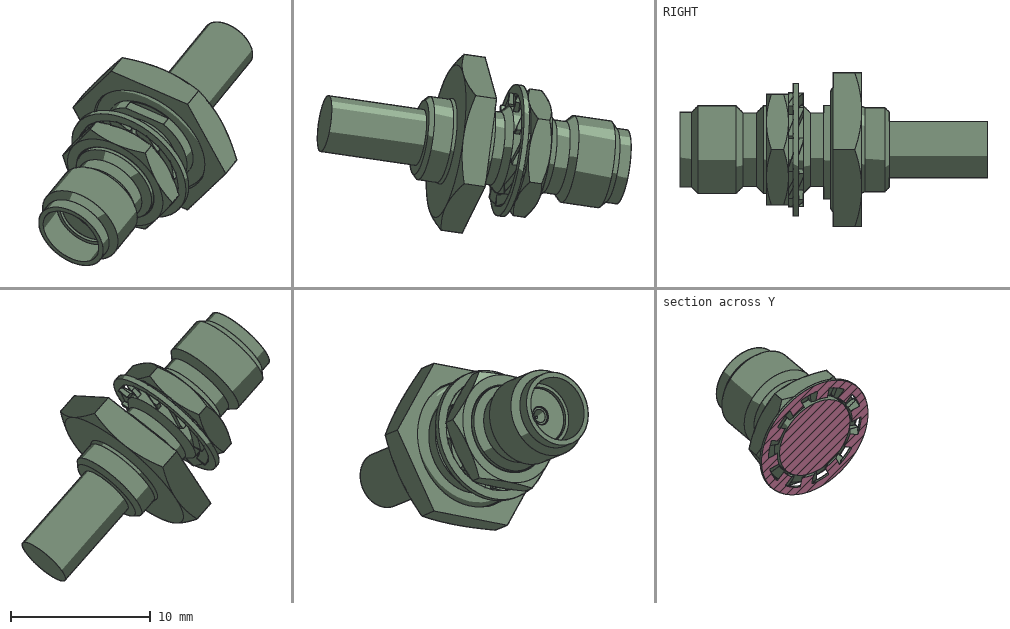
import cadquery as cq
import math

TOTAL_LENGTH = 22.0

SLEEVE_RADIUS = 2.68
SLEEVE_LENGTH = 0.84
THREAD_RADIUS = 3.15
RELIEF_RADIUS = 2.65
FRONT_THREAD_END = 4.0
REAR_THREAD_START = 5.98
REAR_THREAD_END = 8.82
THREAD_BEVEL = THREAD_RADIUS - RELIEF_RADIUS
SLEEVE_BEVEL = THREAD_RADIUS - SLEEVE_RADIUS

HUB_RADIUS = 3.55
HUB_FLAT_HEIGHT = 3.17
HUB_START = 10.27

FLANGE_WIDTH = 11.02
FLANGE_FRONT = 10.95
FLANGE_BACK = 13.0
HEX_BEVEL_ANGLE = 30.0

COLLAR_RADIUS = 3.01
COLLAR_FOOT_RADIUS = 3.1
COLLAR_FOOT_LENGTH = 0.25
COLLAR_END = 14.98
COLLAR_CHAMFER = 0.33
CABLE_RADIUS = 2.02

SEAL_TUBE_RADIUS = 0.5
SEAL_PROTRUSION = 0.2
SEAL_RING_RADIUS = HUB_RADIUS + SEAL_TUBE_RADIUS
GROOVE_RADIUS = 4.62
GROOVE_DEPTH = 2 * SEAL_TUBE_RADIUS - SEAL_PROTRUSION

SOCKET_RADIUS = 2.3
SOCKET_DEPTH = 1.94
INSULATOR_RADIUS = 2.05
INSULATOR_DEPTH = 2.13
INSULATOR_CHAMFER = 0.05
CONTACT_RADIUS = 0.64
CONTACT_RECESS = 0.1
CONTACT_MOUTH_RADIUS = 0.48
CONTACT_TIP_RADIUS = 0.09

NUT_WIDTH = 7.95
NUT_FRONT = 6.18
NUT_BACK = 7.77
NUT_BORE_CHAMFER = 0.09

WASHER_RADIUS = 4.75
WASHER_THICKNESS = 0.4
TOOTH_HEIGHT = 1.05
TOOTH_COUNT = 10
TOOTH_OUTER_RADIUS = 4.1
TOOTH_INNER_RADIUS = 3.3
TOOTH_TWIST = 20.0
TOOTH_GAP_ANGLE = 2.3
FIRST_TOOTH_ANGLE = 23.3
WASHER_MIDDLE = NUT_BACK + TOOTH_HEIGHT / 2


def revolved(profile):
    """Solid of revolution about Y from (radius, y) points."""
    return cq.Workplane("XY").polyline(profile).close().revolve(360, (0, 0, 0), (0, 1, 0))


def cylinder(radius, start, end):
    return revolved([(0, start), (radius, start), (radius, end), (0, end)])


def tube(outer_radius, inner_radius, start, end):
    return revolved([(inner_radius, start), (outer_radius, start), (outer_radius, end), (inner_radius, end)])


def hexagon(width, start, end, bevel_front):
    """Hexagonal prism, flats facing +Z and -Z, corners bevelled at the back and optionally the front."""
    corner_radius = width / math.sqrt(3)
    bevel_drop = (corner_radius - width / 2) * math.tan(math.radians(HEX_BEVEL_ANGLE))
    prism = cq.Workplane("XZ", origin=(0, start, 0)).polygon(6, 2 * corner_radius).extrude(start - end)
    envelope = [(0, start)]
    if bevel_front:
        envelope += [(width / 2, start), (corner_radius, start + bevel_drop)]
    else:
        envelope += [(corner_radius, start)]
    envelope += [(corner_radius, end - bevel_drop), (width / 2, end), (0, end)]
    return prism.intersect(revolved(envelope))


def make_barrel():
    """Mating sleeve and thread, with a relief neck on each side of the rear thread."""
    return revolved([
        (0, 0),
        (SLEEVE_RADIUS, 0),
        (SLEEVE_RADIUS, SLEEVE_LENGTH),
        (THREAD_RADIUS, SLEEVE_LENGTH + SLEEVE_BEVEL),
        (THREAD_RADIUS, FRONT_THREAD_END),
        (RELIEF_RADIUS, FRONT_THREAD_END + THREAD_BEVEL),
        (RELIEF_RADIUS, REAR_THREAD_START - THREAD_BEVEL),
        (THREAD_RADIUS, REAR_THREAD_START),
        (THREAD_RADIUS, REAR_THREAD_END),
        (RELIEF_RADIUS, REAR_THREAD_END + THREAD_BEVEL),
        (RELIEF_RADIUS, FLANGE_FRONT),
        (0, FLANGE_FRONT),
    ])


def make_flange():
    """Hexagonal flange and the flatted hub in front of it, with the seal groove around the hub."""
    hub = cylinder(HUB_RADIUS, HUB_START, FLANGE_BACK)
    above_flat = cq.Workplane("XY", origin=(0, HUB_START, HUB_FLAT_HEIGHT)).rect(
        2 * HUB_RADIUS, 2 * (FLANGE_FRONT - HUB_START)).extrude(HUB_RADIUS)
    plate = hexagon(FLANGE_WIDTH, FLANGE_FRONT, FLANGE_BACK, bevel_front=False)
    groove_and_core = cylinder(GROOVE_RADIUS, FLANGE_FRONT, FLANGE_FRONT + GROOVE_DEPTH)
    return plate.cut(groove_and_core).union(hub.cut(above_flat))


def make_seal_ring():
    """Round-section ring that rests on the hub and on the groove floor."""
    middle = FLANGE_FRONT - SEAL_PROTRUSION + SEAL_TUBE_RADIUS
    ring = cq.Workplane("XY").center(SEAL_RING_RADIUS, middle).circle(SEAL_TUBE_RADIUS)
    return ring.revolve(360, (-SEAL_RING_RADIUS, 0, 0), (-SEAL_RING_RADIUS, 1, 0))


def make_rear():
    """Rear collar and the cable leaving it."""
    foot_end = FLANGE_BACK + COLLAR_FOOT_LENGTH
    return revolved([
        (0, FLANGE_BACK),
        (COLLAR_FOOT_RADIUS, FLANGE_BACK),
        (COLLAR_RADIUS, foot_end),
        (COLLAR_RADIUS, COLLAR_END - COLLAR_CHAMFER),
        (COLLAR_RADIUS - COLLAR_CHAMFER, COLLAR_END),
        (CABLE_RADIUS, COLLAR_END),
        (CABLE_RADIUS, TOTAL_LENGTH),
        (0, TOTAL_LENGTH),
    ])


def make_socket():
    """Space inside the mating end: bore, insulator recess and conical mouth of the centre contact."""
    contact_face = INSULATOR_DEPTH + CONTACT_RECESS
    mouth_depth = CONTACT_MOUTH_RADIUS - CONTACT_TIP_RADIUS
    return revolved([
        (0, 0),
        (SOCKET_RADIUS, 0),
        (SOCKET_RADIUS, SOCKET_DEPTH),
        (INSULATOR_RADIUS, SOCKET_DEPTH),
        (INSULATOR_RADIUS, INSULATOR_DEPTH + INSULATOR_CHAMFER),
        (INSULATOR_RADIUS - INSULATOR_CHAMFER, INSULATOR_DEPTH),
        (CONTACT_RADIUS + INSULATOR_CHAMFER, INSULATOR_DEPTH),
        (CONTACT_RADIUS, INSULATOR_DEPTH + INSULATOR_CHAMFER),
        (CONTACT_RADIUS, contact_face),
        (CONTACT_MOUTH_RADIUS, contact_face),
        (CONTACT_TIP_RADIUS, contact_face + mouth_depth),
        (0, contact_face + mouth_depth),
    ])


def make_nut():
    nut = hexagon(NUT_WIDTH, NUT_FRONT, NUT_BACK, bevel_front=True)
    mouth_radius = THREAD_RADIUS + NUT_BORE_CHAMFER
    bore = revolved([
        (0, NUT_FRONT),
        (mouth_radius, NUT_FRONT),
        (THREAD_RADIUS, NUT_FRONT + NUT_BORE_CHAMFER),
        (THREAD_RADIUS, NUT_BACK - NUT_BORE_CHAMFER),
        (mouth_radius, NUT_BACK),
        (0, NUT_BACK),
    ])
    return nut.cut(bore)


def make_tooth():
    """One tooth at +Z: a strip twisted about its radial direction, with blunt tips."""
    half_pitch = math.pi / TOOTH_COUNT
    half_angle = half_pitch - math.radians(TOOTH_GAP_ANGLE) / 2
    half_width = TOOTH_OUTER_RADIUS * half_pitch
    slope = math.tan(math.radians(TOOTH_TWIST))
    tip = TOOTH_HEIGHT / 2
    half_thickness = WASHER_THICKNESS / 2
    tip_start = (tip - half_thickness) / slope
    inner_edge = slope * half_width - half_thickness
    strip = cq.Workplane("XY", origin=(0, WASHER_MIDDLE, 0)).polyline([
        (-half_width, inner_edge),
        (-half_width, tip),
        (-tip_start, tip),
        (half_width, -inner_edge),
        (half_width, -tip),
        (tip_start, -tip),
    ]).close().extrude(WASHER_RADIUS)
    sector = cq.Workplane("XZ", origin=(0, WASHER_MIDDLE, 0)).polyline([
        (0, 0),
        (-WASHER_RADIUS * math.tan(half_angle), WASHER_RADIUS),
        (WASHER_RADIUS * math.tan(half_angle), WASHER_RADIUS),
    ]).close().extrude(tip, both=True)
    band = tube(TOOTH_OUTER_RADIUS, TOOTH_INNER_RADIUS, WASHER_MIDDLE - tip, WASHER_MIDDLE + tip)
    return band.intersect(sector).intersect(strip)


def make_lock_washer():
    start = WASHER_MIDDLE - WASHER_THICKNESS / 2
    washer = tube(WASHER_RADIUS, TOOTH_OUTER_RADIUS, start, start + WASHER_THICKNESS)
    tooth = make_tooth()
    for index in range(TOOTH_COUNT):
        angle = FIRST_TOOTH_ANGLE + index * 360 / TOOTH_COUNT
        washer = washer.union(tooth.rotate((0, 0, 0), (0, 1, 0), angle))
    return washer


def make_connector():
    connector = make_barrel().union(make_flange()).union(make_rear())
    connector = connector.union(make_nut()).union(make_lock_washer())
    return connector.cut(make_socket())


connector = make_connector()
seal_ring = make_seal_ring()

result = cq.Compound.makeCompound([*connector.vals(), *seal_ring.vals()])